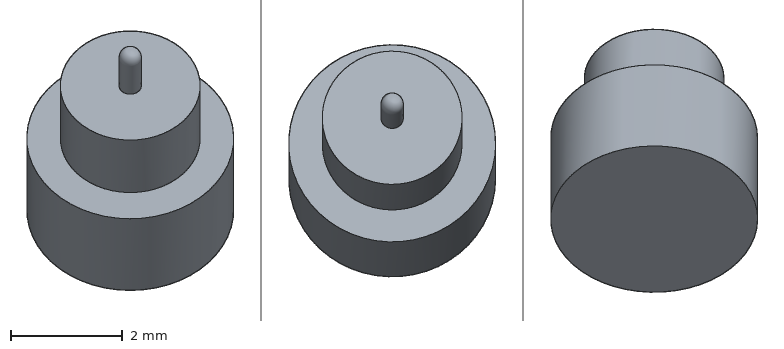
import cadquery as cq

base_diameter = 3.7
base_height = 2.05
collar_diameter = 2.5
collar_height = 1.5
insert_diameter = 1.95
pin_diameter = 0.4
pin_length = 1.0

collar_top = base_height + collar_height
pin_radius = pin_diameter / 2


def cylinder(diameter, bottom, height):
    """Upright cylinder on the Z axis."""
    return cq.Workplane("XY").workplane(offset=bottom).circle(diameter / 2).extrude(height)


def make_shell():
    """Base and collar, with the collar bored out for the insert."""
    base = cylinder(base_diameter, 0, base_height)
    collar = cylinder(collar_diameter, base_height, collar_height)
    bore = cylinder(insert_diameter, base_height, collar_height)
    return base.union(collar).cut(bore)


def make_insert():
    """Plug that fills the bore flush with the collar top."""
    return cylinder(insert_diameter, base_height, collar_height)


def make_pin():
    """Centre pin ending in a hemisphere."""
    shank_length = pin_length - pin_radius
    shank = cylinder(pin_diameter, collar_top, shank_length)
    dome = cq.Workplane("XY").sphere(pin_radius).translate((0, 0, collar_top + shank_length))
    return shank.union(dome)


result = make_shell().union(make_insert(), clean=False).union(make_pin(), clean=False)